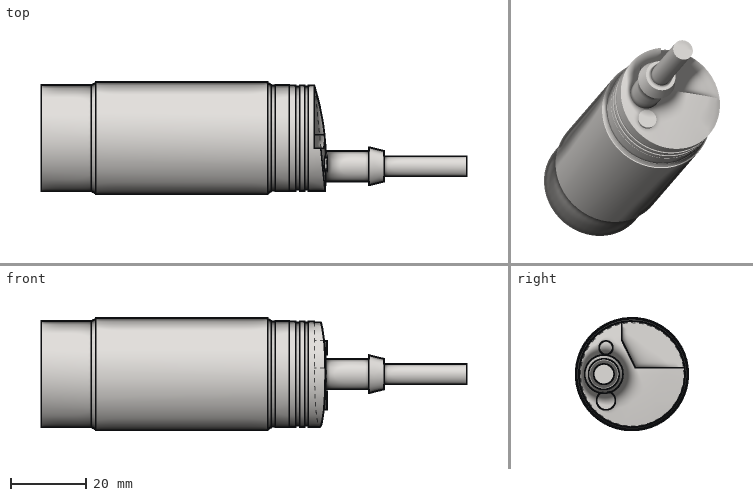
import cadquery as cq

total_length = 113.0
barrel_radius = 14.97
nose_radius = 14.1
shoulder_radius = 14.7
cap_radius = 14.07

nose_end = 13.3
barrel_start = 14.5
barrel_end = 60.1
rear_shoulder_end = 61.1
ring_end = 62.2
ring_depth = 0.1
cap_start = 65.9
housing_blank_end = 79.1

groove_starts = (67.6, 70.0)
groove_width = 1.0
groove_depth = 0.3

dome_radius = 71.2
dome_apex = 75.7
dome_offset = -7.0

recess_floor = 72.5
recess_side = -2.7
recess_corner = 0.9
recess_ramp_height = 9.0
recess_ledge_height = 1.7

pip_start = 72.3
pip_end = 75.9
pip_offset_y = -6.9
pip_offset_z = 7.0
upper_pip_radius = 1.8
lower_pip_radius = 2.5

cable_axis_y = -7.5
cable_start = 67.8
sleeve_radius = 4.1
collar_start = 87.0
collar_end = 91.1
collar_radius = 5.1
cable_radius = 2.7


def cylinder_x(start, end, radius, y=0, z=0):
    """Cylinder parallel to X between two stations."""
    return cq.Workplane("YZ", origin=(start, y, z)).circle(radius).extrude(end - start)


def revolve_x(profile, y=0):
    """Turn an (x, radius) profile about an axis parallel to X."""
    return (
        cq.Workplane("XY", origin=(0, y, 0))
        .polyline(profile)
        .close()
        .revolve(360, (0, 0, 0), (1, 0, 0))
    )


def make_housing():
    ring_radius = nose_radius - ring_depth
    body = revolve_x([
        (0, 0),
        (0, nose_radius),
        (nose_end, nose_radius),
        (barrel_start, shoulder_radius),
        (barrel_start, barrel_radius),
        (barrel_end, barrel_radius),
        (barrel_end, shoulder_radius),
        (rear_shoulder_end, nose_radius),
        (rear_shoulder_end, ring_radius),
        (ring_end, ring_radius),
        (ring_end, nose_radius),
        (cap_start, nose_radius),
        (cap_start, cap_radius),
        (housing_blank_end, cap_radius),
        (housing_blank_end, 0),
    ])
    for start in groove_starts:
        end = start + groove_width
        groove = cylinder_x(start, end, barrel_radius).cut(
            cylinder_x(start, end, cap_radius - groove_depth)
        )
        body = body.cut(groove)
    dome = cq.Workplane("XY").sphere(dome_radius).translate((dome_apex - dome_radius, dome_offset, 0))
    trim = cylinder_x(cap_start, housing_blank_end, barrel_radius).cut(dome)
    return body.cut(trim)


def make_recess():
    """Recess with a ramp and a flat ledge, open to the upper side and the end."""
    outside = barrel_radius
    return (
        cq.Workplane("YZ", origin=(recess_floor, 0, 0))
        .polyline([
            (recess_side, outside),
            (recess_side, recess_ramp_height),
            (recess_corner, recess_ledge_height),
            (outside, recess_ledge_height),
            (outside, outside),
        ])
        .close()
        .extrude(housing_blank_end - recess_floor)
    )


def make_cable():
    return revolve_x([
        (cable_start, 0),
        (cable_start, sleeve_radius),
        (collar_start, sleeve_radius),
        (collar_start, collar_radius),
        (collar_end, sleeve_radius),
        (collar_end, cable_radius),
        (total_length, cable_radius),
        (total_length, 0),
    ], cable_axis_y)


upper_pip = cylinder_x(pip_start, pip_end, upper_pip_radius, pip_offset_y, pip_offset_z)
lower_pip = cylinder_x(pip_start, pip_end, lower_pip_radius, pip_offset_y, -pip_offset_z)

result = make_housing().cut(make_recess()).union(make_cable()).union(upper_pip).union(lower_pip)